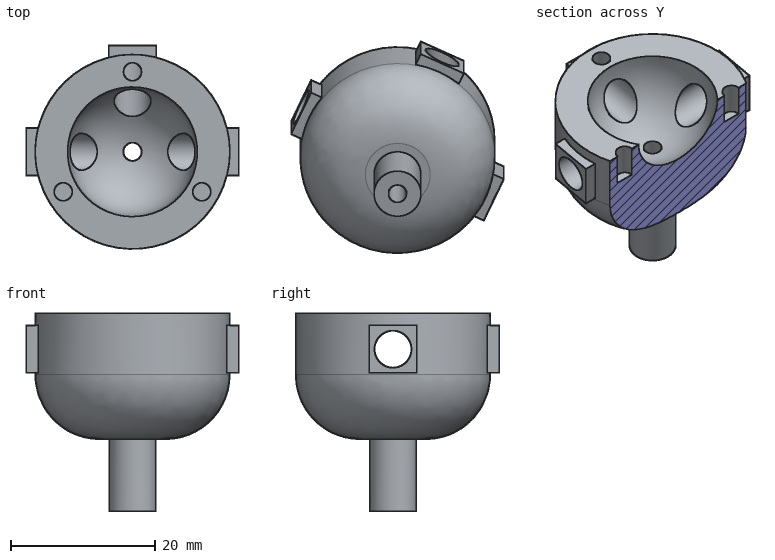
import cadquery as cq

body_diameter = 27.0
body_radius = body_diameter / 2
straight_height = 8.5
round_radius = 9.0
body_height = straight_height + round_radius

cavity_radius = 9.0

stem_diameter = 6.5
stem_length = 10.0
overall_height = body_height + stem_length
bore_diameter = 2.5

pad_size = 6.6
pad_reach = 14.75
port_diameter = 5.1
port_depth_below_rim = 5.0
port_angles = (0, 90, 180)

rim_hole_diameter = 2.5
rim_hole_count = 3
full_turn = 360
rim_hole_first_angle = 90
rim_hole_circle_radius = 11.1
rim_hole_depth = 5.0


def make_body():
    """Cylinder with a large round around its lower edge."""
    cylinder = cq.Workplane("XY").circle(body_radius).extrude(-body_height)
    return cylinder.faces("<Z").edges().fillet(round_radius)


def make_stem():
    """Rod from the rim plane, inside the body, down to the end of the stem."""
    return cq.Workplane("XY").circle(stem_diameter / 2).extrude(-overall_height)


def make_radial(section, angle):
    """Extrude a section from the axis out to the pad face, in the direction of angle."""
    bar = section.extrude(pad_reach)
    return bar.rotate((0, 0, 0), (0, 0, 1), angle)


def port_plane():
    """Plane through the axis, facing +X, with its origin at port height."""
    return cq.Workplane("YZ", origin=(0, 0, -port_depth_below_rim))


def make_rim_holes():
    """Ring of equally spaced blind holes sunk from the rim."""
    ring = cq.Workplane("XY").polarArray(
        rim_hole_circle_radius, rim_hole_first_angle, full_turn, rim_hole_count
    )
    return ring.circle(rim_hole_diameter / 2).extrude(-rim_hole_depth)


def make_bore():
    """Central bore from the rim plane through the end of the stem."""
    return cq.Workplane("XY").circle(bore_diameter / 2).extrude(-overall_height)


result = make_body().union(make_stem())

for port_angle in port_angles:
    result = result.union(make_radial(port_plane().rect(pad_size, pad_size), port_angle))

for port_angle in port_angles:
    result = result.cut(make_radial(port_plane().circle(port_diameter / 2), port_angle))

result = result.cut(cq.Workplane("XY").sphere(cavity_radius))
result = result.cut(make_rim_holes())
result = result.cut(make_bore())